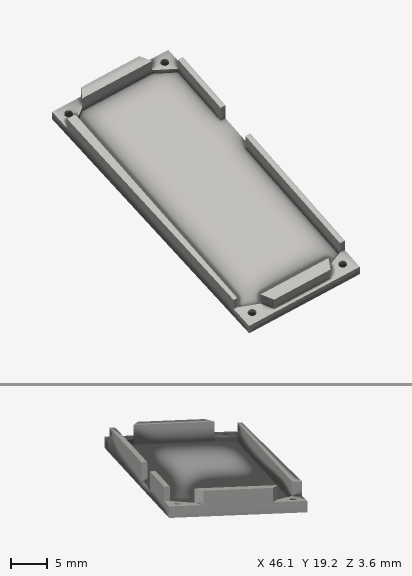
import cadquery as cq

length = 46.1
left_width = 19.21
right_width = 18.3
pad_top = 1.6
floor_top = 0.8
wall_top = 3.6

wall_start = 3.5
wall_end = 42.5
back_wall_inner = -0.8
front_wall_inner = -17.78
gap_start = 13.75
gap_end = 19.7

left_inner = 1.7
left_inner_back = -3.84
left_inner_front = -15.43
left_outer_back = -4.8
left_outer_front = -14.42

right_inner = 43.75
right_outer = 45.57
right_inner_back = -3.56
right_inner_front = -14.8
right_outer_back = -4.48
right_outer_front = -13.8

hole_diameter = 1.2
left_hole_x = 1.55
right_hole_inset = 1.7
right_hole_x = length - right_hole_inset
hole_edge_offset = 1.66
hole_centers = [
    (left_hole_x, -hole_edge_offset),
    (left_hole_x, -left_width + hole_edge_offset),
    (right_hole_x, -hole_edge_offset),
    (right_hole_x, -right_width + hole_edge_offset),
]


def prism(points, bottom, top):
    """Vertical prism over a closed outline."""
    return cq.Workplane("XY").workplane(offset=bottom).polyline(points).close().extrude(top - bottom)


def front_edge(x):
    """Y of the tapered front edge at a given X."""
    return -left_width + (left_width - right_width) * x / length


def make_base():
    return prism([(0, 0), (length, 0), (length, -right_width), (0, -left_width)], 0, pad_top)


def make_floor_recess():
    """Eight-sided pocket whose slanted sides form the inner edges of the corner pads."""
    return prism(
        [
            (wall_start, back_wall_inner),
            (wall_end, back_wall_inner),
            (right_inner, right_inner_back),
            (right_inner, right_inner_front),
            (wall_end, front_wall_inner),
            (wall_start, front_wall_inner),
            (left_inner, left_inner_front),
            (left_inner, left_inner_back),
        ],
        floor_top,
        wall_top,
    )


def make_back_wall(start, end):
    return prism([(start, 0), (end, 0), (end, back_wall_inner), (start, back_wall_inner)], 0, wall_top)


def make_front_wall():
    """Wall with a straight inner face and an outer face that follows the tapered edge."""
    return prism(
        [
            (wall_start, front_wall_inner),
            (wall_end, front_wall_inner),
            (wall_end, front_edge(wall_end)),
            (wall_start, front_edge(wall_start)),
        ],
        0,
        wall_top,
    )


def make_left_wall():
    return prism(
        [
            (0, left_outer_back),
            (left_inner, left_inner_back),
            (left_inner, left_inner_front),
            (0, left_outer_front),
        ],
        0,
        wall_top,
    )


def make_right_wall():
    return prism(
        [
            (right_inner, right_inner_back),
            (right_outer, right_outer_back),
            (right_outer, right_outer_front),
            (right_inner, right_inner_front),
        ],
        0,
        wall_top,
    )


def make_gap_opening():
    """Carries the recessed floor out through the back edge between the two back walls."""
    return prism(
        [(gap_start, 0), (gap_end, 0), (gap_end, back_wall_inner), (gap_start, back_wall_inner)],
        floor_top,
        wall_top,
    )


def make_holes():
    return cq.Workplane("XY").pushPoints(hole_centers).circle(hole_diameter / 2).extrude(pad_top)


result = (
    make_base()
    .cut(make_floor_recess())
    .cut(make_gap_opening())
    .union(make_back_wall(wall_start, gap_start))
    .union(make_back_wall(gap_end, wall_end))
    .union(make_front_wall())
    .union(make_left_wall())
    .union(make_right_wall())
    .cut(make_holes())
)